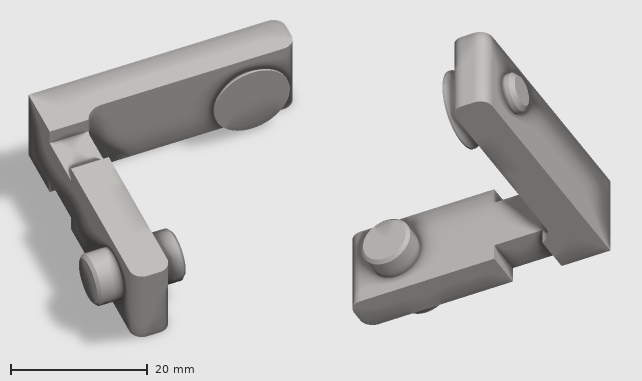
import cadquery as cq

leg_length = 40.0
leg_thickness = 6.0
height = 13.0
mid_height = height / 2
inner_fillet = 3.0
end_round = 2.0

notch_start = 8.0
notch_width = 8.0
notch_depth = 2.5

pin_diameter = 8.0
pin_x = 32.0
pin_front_overhang = 4.01
pin_length = 14.0
pin_chamfer = 0.5

screw_diameter = 6.0
screw_y = 32.0
screw_length = 10.0
screw_tip_overhang = 1.79
tip_chamfer = 0.7
head_diameter = 12.0
head_rim = 0.3

screw_radius = screw_diameter / 2
head_radius = head_diameter / 2
head_cone = head_radius - screw_radius
screw_tip_x = -screw_tip_overhang
screw_head_x = screw_tip_x + screw_length
rim_start_x = screw_head_x - head_rim
cone_start_x = rim_start_x - head_cone


def make_pin():
    """Straight pin along Y, chamfered at both ends."""
    return (
        cq.Workplane("XZ", origin=(pin_x, -pin_front_overhang, mid_height))
        .circle(pin_diameter / 2)
        .extrude(-pin_length)
        .edges("%CIRCLE")
        .chamfer(pin_chamfer)
    )


def make_screw():
    """Countersunk screw along X, revolved from its half profile."""
    half_profile = [
        (screw_tip_x, 0),
        (screw_tip_x, screw_radius - tip_chamfer),
        (screw_tip_x + tip_chamfer, screw_radius),
        (cone_start_x, screw_radius),
        (rim_start_x, head_radius),
        (screw_head_x, head_radius),
        (screw_head_x, 0),
    ]
    return (
        cq.Workplane("XY", origin=(0, screw_y, mid_height))
        .polyline(half_profile)
        .close()
        .revolve(360, (0, 0, 0), (1, 0, 0))
    )


def make_bracket(pin, screw):
    """L-shaped bracket, notched, with holes that match the pin and the screw."""
    legs = (
        cq.Workplane("XY")
        .polyline([
            (0, 0),
            (leg_length, 0),
            (leg_length, leg_thickness),
            (leg_thickness, leg_thickness),
            (leg_thickness, leg_length),
            (0, leg_length),
        ])
        .close()
        .extrude(height)
    )
    inner_corner = cq.selectors.NearestToPointSelector((leg_thickness, leg_thickness, mid_height))
    legs = legs.edges(inner_corner).fillet(inner_fillet)
    legs = legs.faces(">X").edges("|Z").fillet(end_round)
    legs = legs.faces(">Y").edges("|Z").fillet(end_round)

    notch = cq.Workplane("XY").box(
        notch_width, leg_thickness + inner_fillet, notch_depth, centered=False
    )
    for notch_z in (0, height - notch_depth):
        legs = legs.cut(notch.translate((notch_start, 0, notch_z)))

    return legs.cut(pin).cut(screw)


pin = make_pin()
screw = make_screw()
bracket = make_bracket(pin, screw)

result = cq.Compound.makeCompound([bracket.val(), pin.val(), screw.val()])